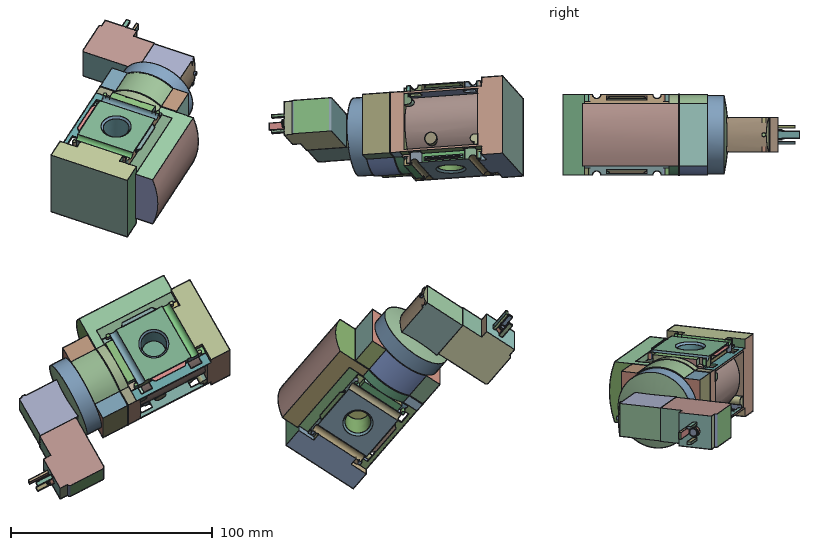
import cadquery as cq


BODY_WIDTH = 41.8
BODY_HEIGHT = 40.0
FOOT_LENGTH = 10.7
PLATE_END_Y = 52.7
BODY_END_Y = 71.7
LEDGE_Z = 15.5
FLAT_Z = 15.6
GASKET_START_Y = 57.4
GASKET_THICKNESS = 0.4
GASKET_RIM = 0.1
HALF_WIDTH = BODY_WIDTH / 2
HALF_HEIGHT = BODY_HEIGHT / 2

PLATE_HALF_WIDTH = 15.2
PLATE_MID_Y = (FOOT_LENGTH + PLATE_END_Y) / 2
NOTCH_INNER_X = 11.6
NOTCH_LENGTH = 4.0
NOTCH_FLOOR_Z = 16.5
HOOK_WIDTH = 1.5
HOOK_OFFSET = 2.8
GROOVE_DIAMETER = 4.0
GROOVE_SPACING = 29.9
PORT_DIAMETER = 12.8
PORT_BOTTOM_DIAMETER = 12.1
PORT_MOUTH_DIAMETER = 14.9
PORT_DEPTH = 14.1

EAR_REACH = 2.1
EAR_BASE_LENGTH = 20.0
EAR_TIP_LENGTH = 16.7
EAR_TOP_DROP = 0.7
EAR_TIP_DROP = 1.0
EAR_KNEE_REACH = 0.4
EAR_KNEE_DROP = 2.0
EAR_BOTTOM_DROP = 2.7

SLOT_OUTER_X = -18.8
SLOT_INNER_X = -15.0
SLOT_LENGTH = 6.1
SLOT_MID_SPACING = 27.9

WINDOW_START_Y = 12.8
WINDOW_END_Y = 50.4
WINDOW_HALF_HEIGHT = 14.4
INNER_BARREL_RADIUS = 18.8
STOP_RADIUS = 2.0
STOP_LENGTH = 1.9
STOP_Z = 10.9
STOP_FACE_X = -20.4
BUTTON_DIAMETER = 6.1
BUTTON_Y = 37.5
BUTTON_Z = -8.7
BUTTON_FACE_X = -18.0

COVER_START_Y = 9.6
COVER_END_Y = GASKET_START_Y
COVER_HALF_HEIGHT = 15.6
COVER_EDGE_X = 30.3
COVER_CROWN_X = 33.1

COLLAR_DIAMETER = 39.0
COLLAR_END_Y = 79.9
DOME_HEIGHT = 2.1

PILOT_HEIGHT = 17.0
PILOT_START_X = -12.1
PILOT_EDGE_X = 9.9
PILOT_CROWN_X = 11.0
PILOT_END_Y = 102.2
PILOT_CORNER = 1.4
PAD_END_X = 10.4
PAD_WIDTH = 2.0
KNOB_DIAMETER = 2.0
KNOB_END_X = 12.1
KNOB_Y = 99.6

COIL_HEIGHT = 17.2
COIL_START_X = -42.1
COIL_START_Y = 82.1
COIL_END_Y = 102.5
COIL_FILLET = 1.2
SOCKET_START_X = -40.9
SOCKET_END_X = -23.6
SOCKET_END_Y = 106.6
STUD_X = -32.3
STUD_DIAMETER = 5.0
STUD_LENGTH = 1.9
NECK_DIAMETER = 3.8
NECK_LENGTH = 0.7
LIP_DIAMETER = 4.0
LIP_LENGTH = 0.4
EARTH_BLADE_X = -28.3
EARTH_BLADE_THICKNESS = 1.3
EARTH_BLADE_WIDTH = 3.5
EARTH_BLADE_END_Y = 117.3
BLADE_WIDTH = 2.1
BLADE_THICKNESS = 1.3
BLADE_END_Y = 115.1
BLADE_Z = 4.0

OVERLAP = 1.2


def block(x_range, y_range, z_range):
    """Axis-aligned box given by its limits along each axis."""
    sizes = [limits[1] - limits[0] for limits in (x_range, y_range, z_range)]
    corner = (x_range[0], y_range[0], z_range[0])
    return cq.Workplane("XY").box(*sizes, centered=False).translate(corner)


def rod_y(diameter, y_range, x=0):
    """Cylinder along Y, on Z = 0."""
    rod = cq.Solid.makeCylinder(
        diameter / 2, y_range[1] - y_range[0], cq.Vector(x, y_range[0], 0), cq.Vector(0, 1, 0)
    )
    return cq.Workplane(obj=rod)


def rod_x(diameter, x_range, y, z):
    """Cylinder along X."""
    rod = cq.Solid.makeCylinder(
        diameter / 2, x_range[1] - x_range[0], cq.Vector(x_range[0], y, z), cq.Vector(1, 0, 0)
    )
    return cq.Workplane(obj=rod)


def both_sides(shape, plane):
    """The shape together with its mirror image."""
    return shape.union(shape.mirror(plane))


def body_core():
    foot = block((-HALF_WIDTH, HALF_WIDTH), (0, FOOT_LENGTH), (-HALF_HEIGHT, HALF_HEIGHT))
    middle = block(
        (-HALF_WIDTH, HALF_WIDTH), (FOOT_LENGTH, PLATE_END_Y), (-LEDGE_Z, LEDGE_Z)
    )
    plates = block(
        (-PLATE_HALF_WIDTH, PLATE_HALF_WIDTH),
        (FOOT_LENGTH, PLATE_END_Y),
        (-HALF_HEIGHT, HALF_HEIGHT),
    )
    return foot.union(middle).union(plates).union(rear_section())


def rear_section():
    """Barrel with side flats and a thin gasket standing slightly proud."""
    gasket_range = (GASKET_START_Y, GASKET_START_Y + GASKET_THICKNESS)
    gasket = flatted_barrel(gasket_range, GASKET_RIM)
    return flatted_barrel((PLATE_END_Y, BODY_END_Y)).union(gasket)


def flatted_barrel(y_range, rim=0):
    """Cylinder joined with a flat block, all side faces moved out by the rim."""
    half_width = HALF_WIDTH + rim
    half_flat = FLAT_Z + rim
    flats = block((-half_width, half_width), y_range, (-half_flat, half_flat))
    return flats.union(rod_y(BODY_HEIGHT + 2 * rim, y_range))


def corner_notches():
    """Pockets at the four corners of the top plate, each keeping a round-nosed hook."""
    notch = block(
        (NOTCH_INNER_X, PLATE_HALF_WIDTH),
        (PLATE_END_Y - NOTCH_LENGTH, PLATE_END_Y),
        (NOTCH_FLOOR_Z, HALF_HEIGHT),
    )
    hook_y = PLATE_END_Y - HOOK_OFFSET
    hook_x = PLATE_HALF_WIDTH - HOOK_WIDTH / 2
    nose = (
        cq.Workplane("XY", origin=(hook_x, hook_y, NOTCH_FLOOR_Z))
        .circle(HOOK_WIDTH / 2)
        .extrude(HALF_HEIGHT - NOTCH_FLOOR_Z)
    )
    web = block(
        (PLATE_HALF_WIDTH - HOOK_WIDTH, PLATE_HALF_WIDTH),
        (PLATE_END_Y - NOTCH_LENGTH, hook_y),
        (NOTCH_FLOOR_Z, HALF_HEIGHT),
    )
    pair = both_sides(notch.cut(nose).cut(web), "YZ")
    opposite_pair = pair.mirror("XZ", (0, PLATE_MID_Y, 0))
    return pair.union(opposite_pair)


def plate_grooves():
    grooves = cq.Workplane("XY")
    for side in (-1, 1):
        groove_y = PLATE_MID_Y + side * GROOVE_SPACING / 2
        grooves = grooves.union(
            rod_x(GROOVE_DIAMETER, (-PLATE_HALF_WIDTH, PLATE_HALF_WIDTH), groove_y, HALF_HEIGHT)
        )
    return grooves


def port():
    """Blind tapered port with a chamfered mouth in the top plate."""
    chamfer = (PORT_MOUTH_DIAMETER - PORT_DIAMETER) / 2
    return (
        cq.Workplane("XZ", origin=(0, PLATE_MID_Y, 0))
        .moveTo(0, HALF_HEIGHT)
        .lineTo(PORT_MOUTH_DIAMETER / 2, HALF_HEIGHT)
        .lineTo(PORT_DIAMETER / 2, HALF_HEIGHT - chamfer)
        .lineTo(PORT_BOTTOM_DIAMETER / 2, HALF_HEIGHT - PORT_DEPTH)
        .lineTo(0, HALF_HEIGHT - PORT_DEPTH)
        .close()
        .revolve(360, (0, 0, 0), (0, 1, 0))
    )


def clamping_ears():
    """Ears with tapered ends and a sloping underside on both sides of the top plate."""
    tip_x = PLATE_HALF_WIDTH + EAR_REACH
    root_x = PLATE_HALF_WIDTH - OVERLAP
    plan = (
        cq.Workplane("XY", origin=(0, PLATE_MID_Y, HALF_HEIGHT))
        .moveTo(root_x, -EAR_BASE_LENGTH / 2)
        .lineTo(PLATE_HALF_WIDTH, -EAR_BASE_LENGTH / 2)
        .lineTo(tip_x, -EAR_TIP_LENGTH / 2)
        .lineTo(tip_x, EAR_TIP_LENGTH / 2)
        .lineTo(PLATE_HALF_WIDTH, EAR_BASE_LENGTH / 2)
        .lineTo(root_x, EAR_BASE_LENGTH / 2)
        .close()
        .extrude(-EAR_BOTTOM_DROP)
    )
    section = (
        cq.Workplane("XZ", origin=(0, PLATE_MID_Y, HALF_HEIGHT))
        .moveTo(root_x, -EAR_TOP_DROP)
        .lineTo(tip_x, -EAR_TOP_DROP)
        .lineTo(tip_x, -EAR_TIP_DROP)
        .lineTo(PLATE_HALF_WIDTH + EAR_KNEE_REACH, -EAR_KNEE_DROP)
        .lineTo(PLATE_HALF_WIDTH, -EAR_BOTTOM_DROP)
        .lineTo(root_x, -EAR_BOTTOM_DROP)
        .close()
        .extrude(EAR_BASE_LENGTH / 2, both=True)
    )
    return both_sides(plan.intersect(section), "YZ")


def window():
    """Opening on the -X side around the inner barrel, with two stops and a button."""
    stop_start_x = -INNER_BARREL_RADIUS / 2
    opening = block(
        (-HALF_WIDTH, stop_start_x),
        (WINDOW_START_Y, WINDOW_END_Y),
        (-WINDOW_HALF_HEIGHT, WINDOW_HALF_HEIGHT),
    )
    opening = opening.cut(rod_y(2 * INNER_BARREL_RADIUS, (WINDOW_START_Y, WINDOW_END_Y)))

    stop_depth = (STOP_FACE_X, stop_start_x)
    nose_y = WINDOW_END_Y - STOP_LENGTH
    stop = rod_x(2 * STOP_RADIUS, stop_depth, nose_y, STOP_Z).union(
        block(stop_depth, (nose_y, WINDOW_END_Y), (STOP_Z - STOP_RADIUS, WINDOW_HALF_HEIGHT))
    )
    window_mid_y = (WINDOW_START_Y + WINDOW_END_Y) / 2
    opposite_stop = stop.rotate((0, window_mid_y, 0), (1, window_mid_y, 0), 180)
    button = rod_x(BUTTON_DIAMETER, (BUTTON_FACE_X, stop_start_x), BUTTON_Y, BUTTON_Z)
    return opening.cut(stop).cut(opposite_stop).cut(button)


def ledge_slots():
    """Slots from the top into the window."""
    slots = cq.Workplane("XY")
    for side in (-1, 1):
        slot_y = PLATE_MID_Y + side * SLOT_MID_SPACING / 2
        slots = slots.union(
            block(
                (SLOT_OUTER_X, SLOT_INNER_X),
                (slot_y - SLOT_LENGTH / 2, slot_y + SLOT_LENGTH / 2),
                (WINDOW_HALF_HEIGHT, HALF_HEIGHT),
            )
        )
    return slots


def side_cover():
    return (
        cq.Workplane("XZ", origin=(0, COVER_END_Y, 0))
        .moveTo(HALF_WIDTH, -COVER_HALF_HEIGHT)
        .lineTo(COVER_EDGE_X, -COVER_HALF_HEIGHT)
        .threePointArc((COVER_CROWN_X, 0), (COVER_EDGE_X, COVER_HALF_HEIGHT))
        .lineTo(HALF_WIDTH, COVER_HALF_HEIGHT)
        .close()
        .extrude(COVER_END_Y - COVER_START_Y)
    )


def collar():
    """Round collar closed by a shallow spherical dome."""
    radius = COLLAR_DIAMETER / 2
    dome_radius = (radius**2 + DOME_HEIGHT**2) / (2 * DOME_HEIGHT)
    half_radius = radius / 2
    crown_y = COLLAR_END_Y + DOME_HEIGHT
    arc_mid_y = crown_y - dome_radius + (dome_radius**2 - half_radius**2) ** 0.5
    return (
        cq.Workplane("XY")
        .moveTo(0, BODY_END_Y - OVERLAP)
        .lineTo(radius, BODY_END_Y - OVERLAP)
        .lineTo(radius, COLLAR_END_Y)
        .threePointArc((half_radius, arc_mid_y), (0, crown_y))
        .close()
        .revolve(360, (0, 0, 0), (0, 1, 0))
    )


def pilot_valve():
    """Block with a crowned +X end, a pad and a knob."""
    half = PILOT_HEIGHT / 2
    pilot = (
        cq.Workplane("XZ", origin=(0, PILOT_END_Y, 0))
        .moveTo(PILOT_START_X, -half)
        .lineTo(PILOT_EDGE_X, -half)
        .threePointArc((PILOT_CROWN_X, 0), (PILOT_EDGE_X, half))
        .lineTo(PILOT_START_X, half)
        .close()
        .extrude(PILOT_END_Y - COLLAR_END_Y)
    )
    corner = (
        cq.Workplane("XY", origin=(0, 0, -half))
        .moveTo(PILOT_CROWN_X, PILOT_END_Y)
        .lineTo(PILOT_CROWN_X - PILOT_CORNER, PILOT_END_Y)
        .lineTo(PILOT_CROWN_X, PILOT_END_Y - PILOT_CORNER)
        .close()
        .extrude(PILOT_HEIGHT)
    )
    pad_range = (KNOB_Y - PAD_WIDTH / 2, KNOB_Y + PAD_WIDTH / 2)
    pad = block((PILOT_EDGE_X - OVERLAP, PAD_END_X), pad_range, (-half, half))
    knob = rod_x(KNOB_DIAMETER, (PILOT_EDGE_X, KNOB_END_X), KNOB_Y, 0)
    return pilot.cut(corner).union(pad).union(knob)


def solenoid_coil():
    half = COIL_HEIGHT / 2
    coil = block((COIL_START_X, PILOT_START_X), (COIL_START_Y, COIL_END_Y), (-half, half))
    coil = coil.edges("|Z and <X").fillet(COIL_FILLET)
    socket = block(
        (SOCKET_START_X, SOCKET_END_X), (COIL_END_Y - OVERLAP, SOCKET_END_Y), (-half, half)
    )
    return coil.union(socket)


def plug_contacts():
    """Stepped centre stud, the earth blade and the two side blades."""
    stud_end = SOCKET_END_Y + STUD_LENGTH
    neck_end = stud_end + NECK_LENGTH
    stud = rod_y(STUD_DIAMETER, (SOCKET_END_Y - OVERLAP, stud_end), STUD_X)
    neck = rod_y(NECK_DIAMETER, (stud_end, neck_end), STUD_X)
    lip = rod_y(LIP_DIAMETER, (neck_end, neck_end + LIP_LENGTH), STUD_X)
    earth_blade = block(
        (EARTH_BLADE_X - EARTH_BLADE_THICKNESS / 2, EARTH_BLADE_X + EARTH_BLADE_THICKNESS / 2),
        (SOCKET_END_Y - OVERLAP, EARTH_BLADE_END_Y),
        (-EARTH_BLADE_WIDTH / 2, EARTH_BLADE_WIDTH / 2),
    )
    blade = block(
        (STUD_X - BLADE_WIDTH / 2, STUD_X + BLADE_WIDTH / 2),
        (SOCKET_END_Y - OVERLAP, BLADE_END_Y),
        (BLADE_Z - BLADE_THICKNESS / 2, BLADE_Z + BLADE_THICKNESS / 2),
    )
    return stud.union(neck).union(lip).union(earth_blade).union(both_sides(blade, "XY"))


body = body_core().union(both_sides(clamping_ears(), "XY"))
for cutter in (corner_notches(), plate_grooves(), port(), ledge_slots()):
    body = body.cut(both_sides(cutter, "XY"))
body = body.cut(window())

result = body
for component in (side_cover(), collar(), pilot_valve(), solenoid_coil(), plug_contacts()):
    result = result.union(component)